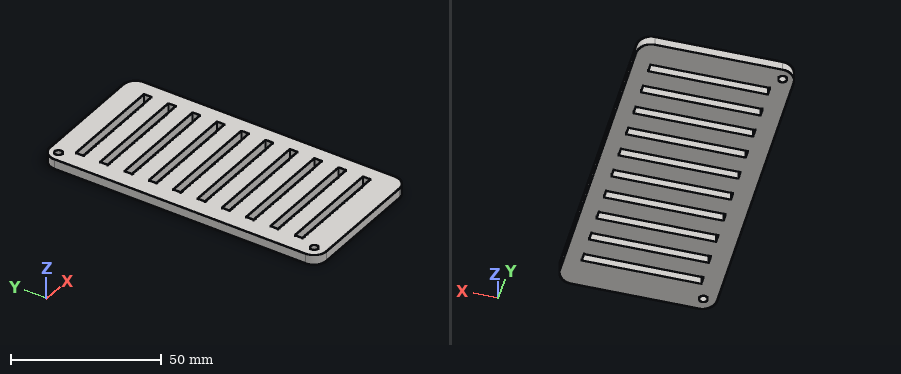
import cadquery as cq

WIDTH = 54.0
LENGTH = 110.0
THICKNESS = 4.0
CORNER_RADIUS = 5.1

SLOT_COUNT = 10
SLOT_LENGTH = 41.0
SLOT_WIDTH = 3.0
SLOT_PITCH = 9.7
SLOT_CENTER_X = 0.5
SLOT_CENTER_Y = 1.0

HOLE_DIAMETER = 2.9
UPPER_HOLE = (-23.0, 50.9)
LOWER_HOLE = (-22.3, -50.4)

plate = (
    cq.Workplane("XY")
    .box(WIDTH, LENGTH, THICKNESS)
    .edges("|Z")
    .fillet(CORNER_RADIUS)
)

slots = (
    cq.Workplane("XY")
    .center(SLOT_CENTER_X, SLOT_CENTER_Y)
    .rarray(1.1, SLOT_PITCH, 1, SLOT_COUNT)
    .box(SLOT_LENGTH, SLOT_WIDTH, THICKNESS)
)

result = (
    plate.cut(slots)
    .faces(">Z")
    .workplane(origin=(0, 0, 0))
    .pushPoints([UPPER_HOLE, LOWER_HOLE])
    .hole(HOLE_DIAMETER)
)